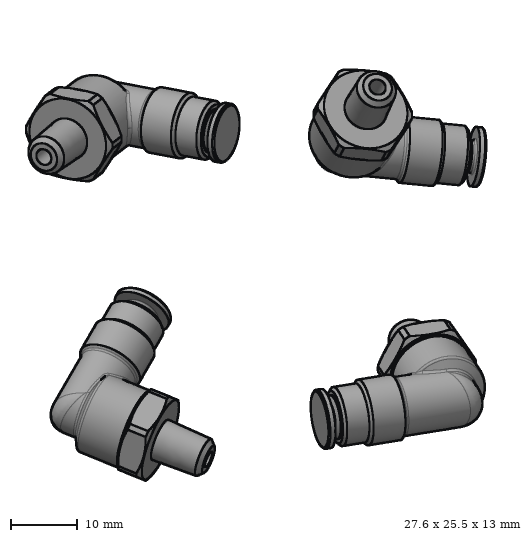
import cadquery as cq
import math


pipe_radius = 4.5
corner_ratio = 0.425
corner_direction = 135
blend_radius = 0.5

collar_start = 8.5
collar_end = 13.5
sleeve_end = 18.0
release_cone_start = 18.15
release_cone_end = 18.65
flange_start = 19.35
tube_end = 20.39

collar_radius = 5.0
sleeve_chamfer = 0.5
release_cone_radius = 3.35
release_neck_radius = 2.45
release_neck_fillet = 0.3
flange_radius = 4.5
flange_chamfer = 0.25

shoulder_root = 0.52
body_end = 8.3
nut_start = 8.5
nut_end = 12.5
thread_end = 20.5
bore_depth = thread_end - nut_end

body_radius = 6.25
body_neck_radius = 6.1
shoulder_angle = 30
nut_across_flats = 13.0
nut_turn = 30
nut_corner_radius = 7.25
nut_face_radius = 6.4
nut_chamfer_angle = 30
thread_radius = 3.25
thread_taper = 1 / 16
thread_chamfer = 0.8
bore_radius = 1.25

collar_rise = collar_radius - pipe_radius
shoulder_drop = (body_radius - pipe_radius) * math.tan(math.radians(shoulder_angle))
shoulder_edge = shoulder_root + shoulder_drop
nut_chamfer = (nut_corner_radius - nut_face_radius) * math.tan(math.radians(nut_chamfer_angle))
thread_tip_radius = thread_radius - thread_taper / 2 * (thread_end - nut_end)

origin = (0, 0, 0)
tolerance = 0.05


def turn_about_x(outline):
    """Solid of revolution from (x, radius) points that start and end on the X axis."""
    return cq.Workplane("XY").polyline(outline).close().revolve(360, origin, (1, 0, 0))


def turn_about_y(outline):
    """Solid of revolution from (radius, distance toward -Y) points."""
    points = [(radius, -distance) for radius, distance in outline]
    return cq.Workplane("XY").polyline(points).close().revolve(360, origin, (0, 1, 0))


def edges_within(low, high):
    """Selector for edges that lie wholly between two corner points."""
    return cq.selectors.BoxSelector(low, high, boundingbox=True)


def make_prism(outline, half_height):
    return cq.Workplane("XY").polyline(outline).close().extrude(half_height, both=True)


def make_pipes():
    """Pipes along +X and -Y, mitred on the inside and stopped at the corner wedge."""
    pipe_along_x = turn_about_x([
        (-pipe_radius, 0),
        (-pipe_radius, pipe_radius),
        (collar_start, pipe_radius),
        (collar_start, 0),
    ])
    pipe_along_y = turn_about_y([
        (0, -pipe_radius),
        (pipe_radius, -pipe_radius),
        (pipe_radius, body_end),
        (0, body_end),
    ])
    reach = thread_end
    offset = corner_ratio * reach
    x_side = [(0, 0), (-offset, reach), (reach, reach), (reach, -reach)]
    y_side = [(0, 0), (-reach, offset), (-reach, -reach), (reach, -reach)]
    pipe_along_x = pipe_along_x.intersect(make_prism(x_side, reach))
    pipe_along_y = pipe_along_y.intersect(make_prism(y_side, reach))
    return pipe_along_x.union(pipe_along_y)


def make_body():
    """Thick sleeve around the threaded leg with a rounded conical shoulder."""
    body = turn_about_y([
        (0, shoulder_root),
        (pipe_radius, shoulder_root),
        (body_radius, shoulder_edge),
        (body_radius, body_end),
        (0, body_end),
    ])
    around_shoulder = edges_within(
        (-2 * body_radius, -shoulder_edge - tolerance, -2 * body_radius),
        (2 * body_radius, -shoulder_edge + tolerance, 2 * body_radius),
    )
    return body.edges(around_shoulder).fillet(blend_radius)


def make_corner_wedge():
    """Prism between the two planes where the corner rounding meets the pipes."""
    reach = 2 * pipe_radius
    outline = [
        (0, 0),
        (-corner_ratio * reach, reach),
        (-reach, reach),
        (-reach, corner_ratio * reach),
    ]
    return make_prism(outline, reach)


def make_corner_ellipsoid():
    """Ellipsoid tangent to both pipes along the two faces of the corner wedge."""
    half_length = pipe_radius * math.sqrt(1 + corner_ratio)
    half_width = pipe_radius * math.sqrt(1 - corner_ratio)
    stretch = cq.Matrix([
        [half_length, 0, 0, 0],
        [0, half_width, 0, 0],
        [0, 0, pipe_radius, 0],
    ])
    ellipsoid = cq.Workplane("XY").sphere(1).val().transformGeometry(stretch)
    return cq.Workplane(obj=ellipsoid).rotate(origin, (0, 0, 1), corner_direction)


def make_elbow():
    """Pipes, rounded corner and body joined, with the seam between them rounded."""
    corner = make_corner_ellipsoid().intersect(make_corner_wedge())
    elbow = make_pipes().union(make_body())
    around_seam = edges_within(
        (-pipe_radius - tolerance, -pipe_radius - tolerance, -pipe_radius - tolerance),
        (body_radius + tolerance, -shoulder_root + tolerance, pipe_radius + tolerance),
    )
    return elbow.edges(around_seam).fillet(blend_radius).union(corner)


def make_tube_leg():
    """Collar, sleeve and release ring with its push flange."""
    collar_root = collar_start - collar_rise
    leg = turn_about_x([
        (0, 0),
        (0, pipe_radius),
        (collar_root, pipe_radius),
        (collar_start, collar_radius),
        (collar_end, collar_radius),
        (collar_end + collar_rise, pipe_radius),
        (sleeve_end - sleeve_chamfer, pipe_radius),
        (sleeve_end, pipe_radius - sleeve_chamfer),
        (sleeve_end, release_cone_radius),
        (release_cone_start, release_cone_radius),
        (release_cone_end, release_neck_radius),
        (flange_start, release_neck_radius),
        (flange_start, flange_radius),
        (tube_end - flange_chamfer, flange_radius),
        (tube_end, flange_radius - flange_chamfer),
        (tube_end, 0),
    ])
    for position, radius in ((collar_root, blend_radius), (flange_start, release_neck_fillet)):
        inner_edge = edges_within(
            (position - tolerance, -pipe_radius - tolerance, -pipe_radius - tolerance),
            (position + tolerance, pipe_radius + tolerance, pipe_radius + tolerance),
        )
        leg = leg.edges(inner_edge).edges(cq.selectors.RadiusNthSelector(0)).fillet(radius)
    return leg


def make_nut():
    """Hexagon with a flat on +Z and -Z, corners and both faces turned down."""
    hexagon = (
        cq.Workplane("XZ")
        .workplane(offset=nut_start)
        .polygon(6, nut_across_flats, circumscribed=True)
        .extrude(nut_end - nut_start)
        .rotate(origin, (0, 1, 0), nut_turn)
    )
    turned = turn_about_y([
        (0, nut_start),
        (nut_face_radius, nut_start),
        (nut_corner_radius, nut_start + nut_chamfer),
        (nut_corner_radius, nut_end - nut_chamfer),
        (nut_face_radius, nut_end),
        (0, nut_end),
    ])
    return hexagon.intersect(turned)


def make_body_neck():
    """Short relief between the body and the nut."""
    return turn_about_y([
        (0, body_end),
        (body_neck_radius, body_end),
        (body_neck_radius, nut_start),
        (0, nut_start),
    ])


def make_thread():
    """Tapered thread envelope with a chamfered tip."""
    return turn_about_y([
        (0, nut_end),
        (thread_radius, nut_end),
        (thread_tip_radius, thread_end - thread_chamfer),
        (thread_tip_radius - thread_chamfer, thread_end),
        (0, thread_end),
    ])


def make_bore():
    """Blind hole from the thread tip."""
    return turn_about_y([
        (0, thread_end - bore_depth),
        (bore_radius, thread_end - bore_depth),
        (bore_radius, thread_end),
        (0, thread_end),
    ])


result = make_elbow()
for section in (make_tube_leg(), make_body_neck(), make_nut(), make_thread()):
    result = result.union(section)
result = result.cut(make_bore())